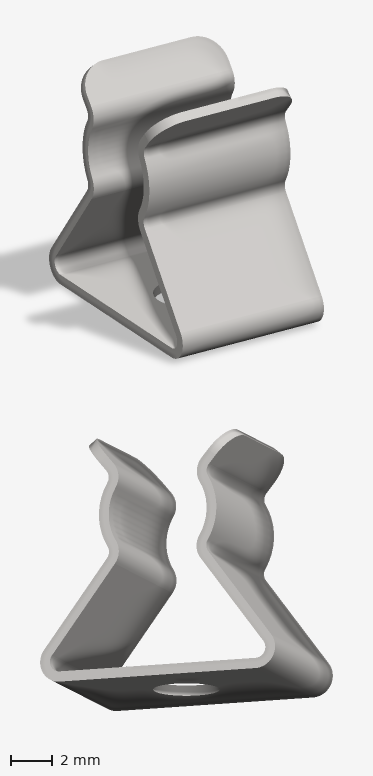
import cadquery as cq
import math

width = 12.0
depth = 8.0
height = 12.0
thickness = 0.5
small_radius = 0.5
grip_radius = 2.5
grip_height = 8.0
throat_width = 4.0
leg_angle = 53.0
lip_angle = 50.0
lip_corner_radius = 1.5
hole_diameter = 3.2


def polar(center, radius, angle):
    """Point at a radius and angle (degrees) around a centre."""
    turn = math.radians(angle)
    return (center[0] + radius * math.cos(turn), center[1] + radius * math.sin(turn))


large_radius = small_radius + thickness
center_spacing = grip_radius + large_radius
grip_center = (0.0, grip_height)
foot_center = (-width / 2 + large_radius, large_radius)
lip_center_x = -throat_width / 2 - large_radius
lip_center = (lip_center_x, grip_height + math.sqrt(center_spacing ** 2 - lip_center_x ** 2))

leg_normal = leg_angle + 90
neck_line_start = polar(foot_center, small_radius + large_radius, leg_normal)
grip_direction = math.atan2(grip_height - neck_line_start[1], -neck_line_start[0])
grip_distance = math.hypot(neck_line_start[0], grip_height - neck_line_start[1])
grip_swing = grip_direction - math.radians(leg_angle)
grip_along = grip_distance * math.cos(grip_swing)
grip_offset = grip_distance * math.sin(grip_swing)
neck_travel = grip_along - math.sqrt(center_spacing ** 2 - grip_offset ** 2)
neck_center = polar(neck_line_start, neck_travel, leg_angle)

neck_to_grip = math.degrees(math.atan2(grip_height - neck_center[1], -neck_center[0]))
lip_to_grip = math.degrees(math.atan2(grip_height - lip_center[1], -lip_center[0]))
lip_normal = 90 - lip_angle

bends = [
    (foot_center, small_radius, large_radius, 270, leg_normal),
    (neck_center, large_radius, small_radius, leg_normal - 180, neck_to_grip),
    (grip_center, grip_radius, grip_radius + thickness, 180 + neck_to_grip, 180 + lip_to_grip),
    (lip_center, large_radius, small_radius, lip_to_grip, lip_normal),
]

straight_before = [foot_center, neck_center]

lip_start = polar(lip_center, large_radius, lip_normal)
lip_length = (height - lip_start[1]) / math.sin(math.radians(lip_angle))
tip_inside = polar(lip_start, lip_length, 180 - lip_angle)
tip_outside = polar(tip_inside, -thickness, lip_normal)


def bend_arc(outline, center, radius, start, end):
    """Continue an outline, already at the start of a bend, along its arc."""
    middle = polar(center, radius, (start + end) / 2)
    return outline.threePointArc(middle, polar(center, radius, end))


def make_half():
    """Left half of the bent strip, from the middle of the base to the lip tip."""
    outline = cq.Workplane("XZ", origin=(0, depth / 2, 0)).moveTo(0, 0)

    for center, _, radius, start, end in bends:
        if center in straight_before:
            outline = outline.lineTo(*polar(center, radius, start))
        outline = bend_arc(outline, center, radius, start, end)
    outline = outline.lineTo(*tip_outside).lineTo(*tip_inside)

    outline = outline.lineTo(*lip_start)
    for center, radius, _, start, end in reversed(bends):
        outline = bend_arc(outline, center, radius, end, start)
        if center == neck_center:
            outline = outline.lineTo(*polar(foot_center, small_radius, leg_normal))
    outline = outline.lineTo(0, thickness)
    return outline.close().extrude(depth)


def round_lip_corners(half):
    """Round the two corners of the flared lip in the plane of the sheet."""
    tip_middle = ((tip_inside[0] + tip_outside[0]) / 2, (tip_inside[1] + tip_outside[1]) / 2)
    front_corner = cq.selectors.NearestToPointSelector((tip_middle[0], -depth / 2, tip_middle[1]))
    back_corner = cq.selectors.NearestToPointSelector((tip_middle[0], depth / 2, tip_middle[1]))
    return half.edges(front_corner + back_corner).fillet(lip_corner_radius)


def make_hole():
    """Mounting hole through the middle of the base."""
    return cq.Workplane("XY").circle(hole_diameter / 2).extrude(thickness)


left_half = round_lip_corners(make_half())
right_half = left_half.mirror("YZ")
result = left_half.union(right_half).clean().cut(make_hole())